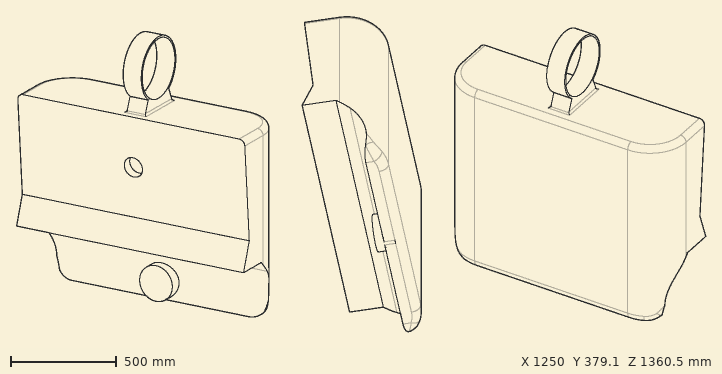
import cadquery as cq
import math


BODY_WIDTH = 1250.0
BODY_HEIGHT = 1000.0
BACK_Y = 200.0
BACK_CORNER_RADIUS = 200.0
TOP_ROUND = 30.0
BOTTOM_ROUND = 45.0

FOOT_WIDTH = 1175.0
FOOT_CORNER_RADIUS = 100.0

FRONT_TOP_Y = -170.0
WAIST_Y = -126.5
WAIST_Z = -520.0
LIP_Y = -179.06
LIP_Z = -664.0
BODY_DEPTH = BACK_Y - LIP_Y

LEDGE_END_Y = -16.0
SLOPE_ANGLE = 45.0
HOLLOW_RADIUS = 245.0
HOLLOW_DEEPEST_Y = 122.0

HOLE_DIAMETER = 100.0
HOLE_DEPTH = 50.0
HOLE_Z = -261.0

BOSS_DIAMETER = 180.0
BOSS_CENTRE_Z = -910.5
BOSS_FRONT_Y = 60.0
BOSS_ROOT_Y = BACK_Y - BOTTOM_ROUND

RING_INNER_DIAMETER = 300.0
RING_OUTER_DIAMETER = 320.0
RING_WIDTH = 100.0
RING_CENTRE_Z = 200.0
STAND_BASE_LENGTH = 250.0
STAND_TOP_LENGTH = 190.0
STAND_TOP_Z = 70.0
STAND_FILLET = 10.0
SELECTION_MARGIN = 1.0


def make_side_profile():
    """Solid with the side outline of the body, spanning the full width."""
    angle = math.radians(SLOPE_ANGLE)
    arc_start_y = HOLLOW_DEEPEST_Y - HOLLOW_RADIUS * (1 - math.cos(angle))
    arc_start_z = LIP_Z - (arc_start_y - LEDGE_END_Y) * math.tan(angle)
    centre_y = HOLLOW_DEEPEST_Y - HOLLOW_RADIUS
    centre_z = arc_start_z - HOLLOW_RADIUS * math.sin(angle)
    arc_end_y = centre_y + math.sqrt(HOLLOW_RADIUS**2 - (BODY_HEIGHT + centre_z) ** 2)
    return (
        cq.Workplane("YZ")
        .moveTo(BACK_Y, 0)
        .lineTo(FRONT_TOP_Y, 0)
        .lineTo(WAIST_Y, WAIST_Z)
        .lineTo(LIP_Y, LIP_Z)
        .lineTo(LEDGE_END_Y, LIP_Z)
        .lineTo(arc_start_y, arc_start_z)
        .threePointArc((HOLLOW_DEEPEST_Y, centre_z), (arc_end_y, -BODY_HEIGHT))
        .lineTo(BACK_Y, -BODY_HEIGHT)
        .close()
        .extrude(BODY_WIDTH / 2, both=True)
    )


def make_block(width, bottom_z, top_z):
    """Plain block over the full body depth, centred on X = 0."""
    return (
        cq.Workplane("XY", origin=(0, LIP_Y, bottom_z))
        .box(width, BODY_DEPTH, top_z - bottom_z, centered=(True, False, False))
    )


def make_front_profile():
    """Solid with the front outline of the body: full width above a narrower, round-cornered foot."""
    foot_top_z = FOOT_CORNER_RADIUS - BODY_HEIGHT
    foot = make_block(FOOT_WIDTH, -BODY_HEIGHT, 0)
    foot = foot.faces("<Z").edges("|Y").fillet(FOOT_CORNER_RADIUS)
    return foot.union(make_block(BODY_WIDTH, foot_top_z, 0))


def make_body():
    """Block with rounded back corners and edges, trimmed to the front and side outlines."""
    block = make_block(BODY_WIDTH, -BODY_HEIGHT, 0)
    block = block.edges("|Z and >Y").fillet(BACK_CORNER_RADIUS)
    block = block.faces(">Z").edges("not <Y").fillet(TOP_ROUND)
    block = block.intersect(make_front_profile()).intersect(make_side_profile())
    return block.faces("<Z").edges(">Y").fillet(BOTTOM_ROUND)


def make_hole():
    """Cutter for the blind hole, reaching as far outside the front face as inside."""
    rise = -WAIST_Z
    run = WAIST_Y - FRONT_TOP_Y
    length = math.hypot(rise, run)
    inward = cq.Vector(0, rise / length, run / length)
    mouth = cq.Vector(0, FRONT_TOP_Y + run * HOLE_Z / WAIST_Z, HOLE_Z)
    start = mouth - inward * HOLE_DEPTH
    return cq.Workplane(cq.Solid.makeCylinder(HOLE_DIAMETER / 2, 2 * HOLE_DEPTH, start, inward))


def make_boss():
    """Round boss running from inside the body to its flat front end."""
    front = cq.Vector(0, BOSS_FRONT_Y, BOSS_CENTRE_Z)
    backward = cq.Vector(0, 1, 0)
    length = BOSS_ROOT_Y - BOSS_FRONT_Y
    return cq.Workplane(cq.Solid.makeCylinder(BOSS_DIAMETER / 2, length, front, backward))


def make_ring_disc(diameter):
    """Disc about the ring axis, as wide as the ring."""
    return (
        cq.Workplane("YZ")
        .center(0, RING_CENTRE_Z)
        .circle(diameter / 2)
        .extrude(RING_WIDTH / 2, both=True)
    )


def make_stand():
    """Tapered stand carrying the ring."""
    return (
        cq.Workplane("YZ")
        .moveTo(-STAND_BASE_LENGTH / 2, 0)
        .lineTo(STAND_BASE_LENGTH / 2, 0)
        .lineTo(STAND_TOP_LENGTH / 2, STAND_TOP_Z)
        .lineTo(-STAND_TOP_LENGTH / 2, STAND_TOP_Z)
        .close()
        .extrude(RING_WIDTH / 2, both=True)
    )


def add_lifting_ring(body):
    """Add the stand, fillet its foot to the body and set the ring on it."""
    half_length = STAND_BASE_LENGTH / 2 + SELECTION_MARGIN
    half_width = RING_WIDTH / 2 + SELECTION_MARGIN
    foot_edges = cq.selectors.BoxSelector(
        (-half_width, -half_length, -SELECTION_MARGIN),
        (half_width, half_length, SELECTION_MARGIN),
        boundingbox=True,
    )
    standing = body.union(make_stand()).edges(foot_edges).fillet(STAND_FILLET)
    ringed = standing.union(make_ring_disc(RING_OUTER_DIAMETER))
    return ringed.cut(make_ring_disc(RING_INNER_DIAMETER))


result = add_lifting_ring(make_body().cut(make_hole()).union(make_boss()))